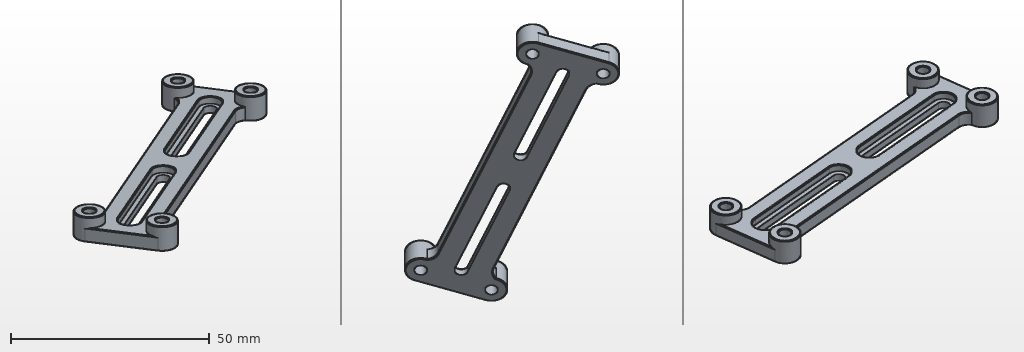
import cadquery as cq

LENGTH = 87.4
WIDTH = 27.1
HEIGHT = 7.0

PLATE_THICKNESS = 4.0
BAR_WIDTH = 15.0
NECK_LENGTH = 3.0
NECK_OVERLAP = 0.1
EDGE_CHAMFER = 0.3

BOSS_DIAMETER = 8.0
HOLE_DIAMETER = 3.2
BOSS_X = (WIDTH - BOSS_DIAMETER) / 2
BOSS_Y = (LENGTH - BOSS_DIAMETER) / 2
BOSS_CENTRES = [(x, y) for x in (-BOSS_X, BOSS_X) for y in (-BOSS_Y, BOSS_Y)]

SLOT_CENTRE_Y = 21.1
SLOT_SPAN = 29.9
SLOT_WIDTH = 3.4
RECESS_WIDTH = 6.1
RECESS_DEPTH = 2.0
SLOT_CENTRES = [(0, -SLOT_CENTRE_Y), (0, SLOT_CENTRE_Y)]


def make_plate():
    """Bar whose ends flare out, along concave arcs, to reach the four boss centre lines."""
    bar_x = BAR_WIDTH / 2
    flare_y = BOSS_Y - BOSS_DIAMETER / 2 + NECK_OVERLAP
    neck_y = flare_y - NECK_LENGTH
    flare_width = BOSS_X - bar_x
    neck_radius = (flare_width**2 + NECK_LENGTH**2) / (2 * flare_width)
    outline = (
        cq.Workplane("XY")
        .moveTo(0, -LENGTH / 2)
        .lineTo(BOSS_X, -LENGTH / 2)
        .lineTo(BOSS_X, -flare_y)
        .radiusArc((bar_x, -neck_y), neck_radius)
        .lineTo(bar_x, neck_y)
        .radiusArc((BOSS_X, flare_y), neck_radius)
        .lineTo(BOSS_X, LENGTH / 2)
        .lineTo(0, LENGTH / 2)
        .mirrorY()
    )
    return outline.extrude(PLATE_THICKNESS).faces("<Z or >Z").chamfer(EDGE_CHAMFER)


def make_bosses():
    cylinders = cq.Workplane("XY").pushPoints(BOSS_CENTRES).circle(BOSS_DIAMETER / 2).extrude(HEIGHT)
    return cylinders.faces("<Z or >Z").chamfer(EDGE_CHAMFER)


def slot_cutter(width, bottom, top):
    """Pair of round-ended slots running along the bar."""
    return (
        cq.Workplane("XY", origin=(0, 0, bottom))
        .pushPoints(SLOT_CENTRES)
        .slot2D(SLOT_SPAN + width, width, 90)
        .extrude(top - bottom)
    )


def slot_rims():
    """Bevel around the top of each recess."""
    rim_width = RECESS_WIDTH + 2 * EDGE_CHAMFER
    return (
        cq.Workplane("XY", origin=(0, 0, PLATE_THICKNESS))
        .pushPoints(SLOT_CENTRES)
        .slot2D(SLOT_SPAN + rim_width, rim_width, 90)
        .extrude(-EDGE_CHAMFER, taper=45)
    )


def screw_holes():
    """Holes right through the bosses, with a bevel around the top of each."""
    holes = cq.Workplane("XY").pushPoints(BOSS_CENTRES).circle(HOLE_DIAMETER / 2).extrude(HEIGHT)
    rims = (
        cq.Workplane("XY", origin=(0, 0, HEIGHT))
        .pushPoints(BOSS_CENTRES)
        .circle(HOLE_DIAMETER / 2 + EDGE_CHAMFER)
        .extrude(-EDGE_CHAMFER, taper=45)
    )
    return holes.union(rims)


result = (
    make_plate()
    .union(make_bosses())
    .cut(screw_holes())
    .cut(slot_cutter(SLOT_WIDTH, 0, PLATE_THICKNESS))
    .cut(slot_cutter(RECESS_WIDTH, PLATE_THICKNESS - RECESS_DEPTH, PLATE_THICKNESS))
    .cut(slot_rims())
)